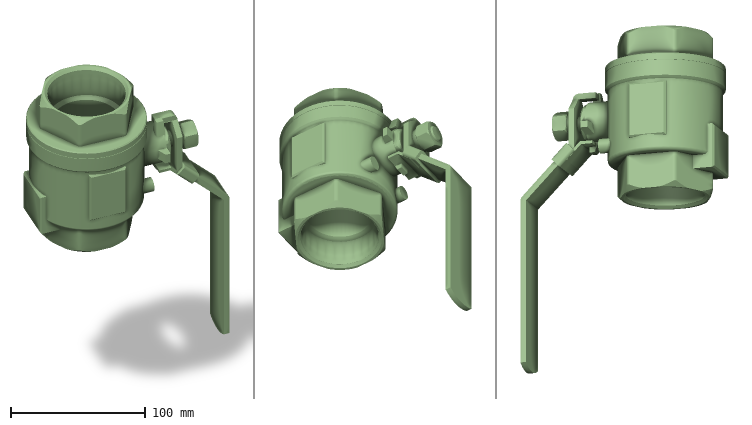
import cadquery as cq
import math


half_length = 62.0
hex_flats = 65.5
hex_corner_fillet = 3.5
hex_end_radius = 33.5
port_diameter = 50.0
socket_mouth_diameter = 58.8
socket_floor_diameter = 56.8
socket_depth = 24.5
shelf_drop = 2.0
socket_chamfer = 2.0

body_diameter = 86.0
body_bottom = -36.0
body_edge_fillet = 2.5
flange_diameter = 90.0
flange_bottom = 19.0
flange_top = 38.5
flange_top_chamfer = 0.7
flange_bottom_chamfer = 2.0
seam_height = 33.0
seam_size = 0.37

side_pad_reach = 43.4
side_pad_width = 29.5
side_pad_bottom = -24.7
side_pad_top = 16.7
front_pad_reach = 44.0
front_pad_width = 35.5
front_pad_bottom = -46.0
front_pad_top = -12.5
pad_chamfer = 1.2

stud_diameter = 11.0
stud_spacing = 38.5
stud_height = -23.2
stud_reach = 44.5

boss_diameter = 32.0
boss_reach = 58.3
gland_flats = 28.0
gland_diameter = 31.0
gland_reach = 62.5
gland_corner_chamfer = 2.2
lug_side = 4.0
lug_root_width = 7.7
lug_tip_width = 4.7
lug_root_radius = 13.7
stop_lug_reach = 24.5
stop_lug_root_y = 51.3
stop_lug_tip_y = 52.8
plain_lug_reach = 23.0
plain_lug_root_y = 50.3
plain_lug_tip_y = 54.3

stem_diameter = 12.7
stem_reach = 87.2
stem_chamfer = 1.0
washer_diameter = 18.5
nut_flats = 19.5
nut_start = 74.8
nut_end = 86.0
nut_corner_chamfer = 1.2

slope_angle = 45
strap_thickness = 4.5
strap_width = 28.0
strap_outer = 71.5
overall_depth = 154.3
overall_height = 249.2
grip_outer = overall_depth - flange_diameter / 2
handle_bottom = half_length - overall_height
slope_start = -18.7
grip_end_radius = 25.0
shoulder_bottom = 9.5
shoulder_top = 17.0
neck_width = 12.0
tab_width = 8.0
tab_top = 23.2
tab_tip = 53.5
bend_radius = 4.5

sleeve_length = 16.5
sleeve_width = 32.5
sleeve_thickness = 9.2
sleeve_fillet = 2.2
sleeve_offset = 6.2
tongue_thickness = 2.2
tongue_top = -16.5
tongue_tip = 52.8
tongue_bend = 62.5
tongue_root_inset = 2.5

half_bend_tangent = math.tan(math.radians(slope_angle / 2))
wall_middle = (body_diameter + port_diameter) / 4


def across_corners(flats):
    return 2 * flats / math.sqrt(3)


def cylinder_z(diameter, bottom, top):
    return cq.Workplane("XY").workplane(offset=bottom).circle(diameter / 2).extrude(top - bottom)


def cone_z(bottom_diameter, top_diameter, bottom, top):
    return (
        cq.Workplane("XY").workplane(offset=bottom).circle(bottom_diameter / 2)
        .workplane(offset=top - bottom).circle(top_diameter / 2)
        .loft()
    )


def cylinder_y(diameter, start, end, x=0, z=0):
    """Cylinder along +Y; the XZ plane faces -Y, so it is extruded backwards."""
    plane = cq.Workplane("XZ", origin=(x, start, z))
    return plane.circle(diameter / 2).extrude(start - end)


def hexagon_y(flats, start, end):
    """Hexagonal prism along +Y with corners pointing up and down."""
    return (
        cq.Workplane("XZ", origin=(0, start, 0))
        .transformed(rotate=(0, 0, 90))
        .polygon(6, across_corners(flats)).extrude(start - end)
    )


def slab_yz(points, width):
    """Prism of a closed (y, z) outline, centred on x = 0."""
    return cq.Workplane("YZ").polyline(points).close().extrude(width / 2, both=True)


def pipe_ends():
    """Full-length hexagon with rounded corners and its ends turned to a 45 degree cone."""
    hex_across = across_corners(hex_flats)
    hexagon = (
        cq.Workplane("XY").workplane(offset=-half_length)
        .transformed(rotate=(0, 0, 90))
        .polygon(6, hex_across).extrude(2 * half_length)
        .edges("|Z").fillet(hex_corner_fillet)
    )
    cone_height = hex_across / 2 - hex_end_radius
    envelope = cylinder_z(hex_across, -half_length, half_length)
    envelope = envelope.faces("<Z or >Z").chamfer(cone_height)
    return hexagon.intersect(envelope)


def barrel():
    """Round body with a chamfered flange; a fine groove marks the flange seam."""
    body = cylinder_z(body_diameter, body_bottom, (flange_bottom + flange_top) / 2)
    body = body.faces("<Z").edges().fillet(body_edge_fillet)
    flange = (
        cylinder_z(flange_diameter, flange_bottom, flange_top)
        .faces(">Z").chamfer(flange_top_chamfer)
        .faces("<Z").chamfer(flange_bottom_chamfer)
    )
    groove = (
        cylinder_z(flange_diameter, seam_height - seam_size / 2, seam_height + seam_size / 2)
        .cut(cylinder_z(flange_diameter - 2 * seam_size, flange_bottom, flange_top))
    )
    return body.union(flange.cut(groove))


def side_pads():
    """Flat pads on the +X and -X sides, joined through the body."""
    height = side_pad_top - side_pad_bottom
    block = cq.Workplane("XY").box(2 * side_pad_reach, side_pad_width, height)
    block = block.faces("<X or >X").chamfer(pad_chamfer)
    return block.translate((0, 0, (side_pad_top + side_pad_bottom) / 2))


def front_pad():
    height = front_pad_top - front_pad_bottom
    block = cq.Workplane("XY").box(front_pad_width, front_pad_reach, height)
    block = block.faces("<Y").chamfer(pad_chamfer)
    return block.translate((0, -front_pad_reach / 2, (front_pad_top + front_pad_bottom) / 2))


def bore_cutter():
    """Through port with a tapered socket and a conical shelf at each end."""
    cutter = cylinder_z(port_diameter, -half_length, half_length)
    floor = half_length - socket_depth
    shelf = cone_z(port_diameter, socket_floor_diameter, floor - shelf_drop, floor)
    socket = cone_z(socket_floor_diameter, socket_mouth_diameter, floor, half_length)
    mouth = cone_z(
        socket_mouth_diameter, socket_mouth_diameter + 2 * socket_chamfer,
        half_length - socket_chamfer, half_length,
    )
    socket = socket.union(shelf).union(mouth)
    return cutter.union(socket).union(socket.mirror("XY"))


def lug(tip_radius, root_y, tip_y, sides_root, sides_tip):
    """Tapered lug pointing along +Z from the boss, with its outer face at the boss end."""
    def section(sides, inner_y):
        left, right = sides
        return [(left, inner_y), (right, inner_y), (right, boss_reach), (left, boss_reach)]

    return (
        cq.Workplane("XY").workplane(offset=lug_root_radius)
        .polyline(section(sides_root, root_y)).close()
        .workplane(offset=tip_radius - lug_root_radius)
        .polyline(section(sides_tip, tip_y)).close()
        .loft(ruled=True)
    )


def stem_boss():
    """Round boss with a hexagonal gland, two one-sided stop lugs and two plain lugs."""
    boss = cylinder_y(boss_diameter, wall_middle, boss_reach)
    gland = hexagon_y(gland_flats, boss_reach, gland_reach)
    envelope = cylinder_y(gland_diameter, boss_reach, gland_reach)
    envelope = envelope.faces(">Y").chamfer(gland_corner_chamfer)
    boss = boss.union(gland.intersect(envelope))
    stop_lug = lug(
        stop_lug_reach, stop_lug_root_y, stop_lug_tip_y,
        (lug_side, lug_side + lug_root_width), (lug_side, lug_side + lug_tip_width),
    )
    boss = boss.union(stop_lug)
    boss = boss.union(stop_lug.mirror("YZ").rotate((0, 0, 0), (0, 1, 0), -90))
    plain_sides = (-lug_side, lug_side)
    plain_lug = lug(plain_lug_reach, plain_lug_root_y, plain_lug_tip_y, plain_sides, plain_sides)
    for angle in (90, 180):
        boss = boss.union(plain_lug.rotate((0, 0, 0), (0, 1, 0), angle))
    return boss


def studs():
    stud = cylinder_y(stud_diameter, wall_middle, stud_reach, stud_spacing / 2, stud_height)
    return stud.union(stud.mirror("YZ"))


def stem_and_nut():
    stem = cylinder_y(stem_diameter, boss_reach, stem_reach)
    stem = stem.faces(">Y").chamfer(stem_chamfer)
    washer = cylinder_y(washer_diameter, strap_outer, nut_start)
    nut = hexagon_y(nut_flats, nut_start, nut_end)
    envelope = cylinder_y(across_corners(nut_flats), nut_start, nut_end)
    envelope = envelope.faces("<Y or >Y").chamfer(nut_corner_chamfer)
    return stem.union(washer).union(nut.intersect(envelope))


def handle():
    """Bent strap: stop tab, flat plate on the stem, 45 degree slope and straight grip."""
    inner = strap_outer - strap_thickness
    grip_inner = grip_outer - strap_thickness
    slope_end = slope_start - (grip_outer - strap_outer)
    bend_shift = strap_thickness * half_bend_tangent
    side_profile = slab_yz(
        [
            (tab_tip, tab_top), (strap_outer, tab_top), (strap_outer, slope_start),
            (grip_outer, slope_end), (grip_outer, handle_bottom),
            (grip_inner, handle_bottom), (grip_inner, slope_end - bend_shift),
            (inner, slope_start - bend_shift), (inner, tab_top - strap_thickness),
            (tab_tip, tab_top - strap_thickness),
        ],
        strap_width,
    )
    side_profile = side_profile.faces(">Z").edges(">Y").fillet(bend_radius)
    grip_bend = cq.selectors.NearestToPointSelector((0, grip_outer, slope_end))
    side_profile = side_profile.edges(grip_bend).fillet(bend_radius)
    half_strap = strap_width / 2
    half_neck = neck_width / 2
    half_tab = tab_width / 2
    neck_step = half_neck - half_tab
    grip_sagitta = grip_end_radius - math.sqrt(grip_end_radius**2 - half_strap**2)
    face_outline = (
        cq.Workplane("XZ")
        .moveTo(-half_strap, handle_bottom + grip_sagitta)
        .threePointArc((0, handle_bottom), (half_strap, handle_bottom + grip_sagitta))
        .lineTo(half_strap, shoulder_bottom)
        .lineTo(half_neck, shoulder_top)
        .lineTo(half_tab, shoulder_top + neck_step)
        .lineTo(half_tab, tab_top)
        .lineTo(-half_tab, tab_top)
        .lineTo(-half_tab, shoulder_top + neck_step)
        .lineTo(-half_neck, shoulder_top)
        .lineTo(-half_strap, shoulder_bottom)
        .close()
        .extrude(-grip_outer)
    )
    return side_profile.intersect(face_outline)


def locking_sleeve():
    """Rounded sleeve around the slope, with a tongue reaching towards the lower stop lug."""
    sleeve = (
        cq.Workplane("XY").box(sleeve_width, sleeve_length, sleeve_thickness)
        .edges("|Y").fillet(sleeve_fillet)
        .rotate((0, 0, 0), (1, 0, 0), -slope_angle)
    )
    bend_shift = strap_thickness / 2 * half_bend_tangent
    center_y = strap_outer - strap_thickness / 2 + sleeve_offset
    center_z = slope_start - bend_shift - sleeve_offset
    sleeve = sleeve.translate((0, center_y, center_z))
    tongue_shift = tongue_thickness * half_bend_tangent
    tongue_bottom = tongue_top - tongue_thickness
    root_y = center_y - tongue_root_inset
    root_drop = root_y - tongue_bend
    tongue = slab_yz(
        [
            (tongue_tip, tongue_top),
            (tongue_bend, tongue_top),
            (root_y, tongue_top - root_drop),
            (root_y, tongue_bottom - root_drop - tongue_shift),
            (tongue_bend - tongue_shift, tongue_bottom),
            (tongue_tip, tongue_bottom),
        ],
        strap_width,
    )
    return sleeve.union(tongue)


valve = pipe_ends().union(barrel()).union(side_pads()).union(front_pad())
valve = valve.union(studs()).union(stem_boss()).cut(bore_cutter())
result = valve.union(stem_and_nut()).union(handle()).union(locking_sleeve())